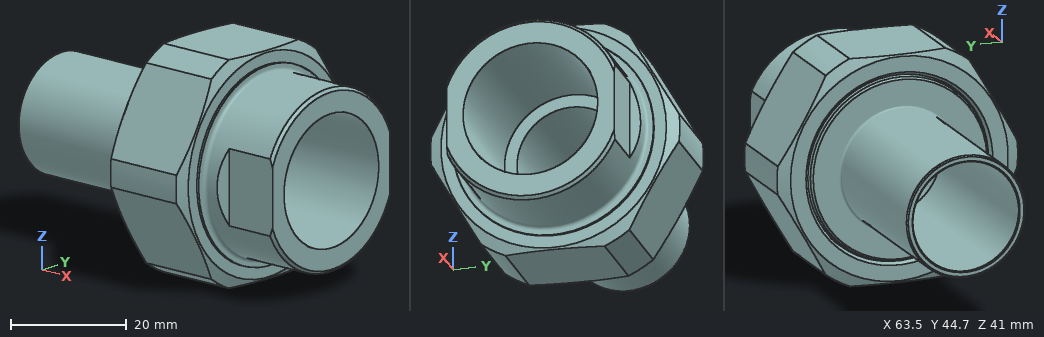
import cadquery as cq
import math


total_length = 63.5
shoulder_x = 31.0
nut_start_x = 31.4
nut_end_x = 48.5
lip_end_x = 34.3
joint_x = 36.8
collar_end_x = 48.95

tail_bore_diameter = 19.6
tube_diameter = 22.0
shoulder_diameter = 33.0
shoulder_chamfer = 0.4
tube_root_fillet = 0.45
tube_outer_chamfer = 0.25
tube_bore_chamfer = 0.2

hex_across_flats = 41.0
hex_turn = 30.0
hex_corner_diameter = 44.7
nut_face_diameter = 40.4
nut_bevel_length = 0.9
lip_bore_diameter = 33.5
lip_chamfer = 0.6
collar_diameter = 36.0

socket_diameter = 33.0
socket_bore_diameter = 24.1
socket_root_fillet = 0.7
socket_end_chamfer = 0.6
flats_width = 30.0
flats_start_x = 53.4


def tube(outer_diameter, start_x, end_x):
    """Solid cylinder along X between two stations."""
    return (
        cq.Workplane("YZ", origin=(start_x, 0, 0))
        .circle(outer_diameter / 2)
        .extrude(end_x - start_x)
    )


def revolve_about_x(outline):
    """Turn a closed outline, given in X and radius, about the X axis."""
    return outline.close().revolve(360, (0, 0, 0), (1, 0, 0))


def make_tailpiece():
    tube_radius = tube_diameter / 2
    bore_radius = tail_bore_diameter / 2
    shoulder_radius = shoulder_diameter / 2
    flange_radius = collar_diameter / 2
    fillet_start_x = shoulder_x - tube_root_fillet
    fillet_mid_offset = tube_root_fillet * (1 - math.sqrt(0.5))
    outline = (
        cq.Workplane("XY")
        .moveTo(0, bore_radius + tube_bore_chamfer)
        .lineTo(0, tube_radius - tube_outer_chamfer)
        .lineTo(tube_outer_chamfer, tube_radius)
        .lineTo(fillet_start_x, tube_radius)
        .threePointArc(
            (shoulder_x - fillet_mid_offset, tube_radius + fillet_mid_offset),
            (shoulder_x, tube_radius + tube_root_fillet),
        )
        .lineTo(shoulder_x, shoulder_radius - shoulder_chamfer)
        .lineTo(shoulder_x + shoulder_chamfer, shoulder_radius)
        .lineTo(lip_end_x, shoulder_radius)
        .lineTo(lip_end_x, flange_radius)
        .lineTo(joint_x, flange_radius)
        .lineTo(joint_x, bore_radius)
        .lineTo(tube_bore_chamfer, bore_radius)
    )
    return revolve_about_x(outline)


def make_nut_envelope():
    """Turned blank that rounds the hexagon corners and bevels both ends."""
    face_radius = nut_face_diameter / 2
    corner_radius = hex_corner_diameter / 2
    outline = (
        cq.Workplane("XY")
        .moveTo(nut_start_x, 0)
        .lineTo(nut_start_x, face_radius)
        .lineTo(nut_start_x + nut_bevel_length, corner_radius)
        .lineTo(nut_end_x - nut_bevel_length, corner_radius)
        .lineTo(nut_end_x, face_radius)
        .lineTo(nut_end_x, 0)
    )
    return revolve_about_x(outline)


def make_nut_bore():
    """Chamfered lip opening followed by the wider collar bore."""
    lip_radius = lip_bore_diameter / 2
    collar_radius = collar_diameter / 2
    outline = (
        cq.Workplane("XY")
        .moveTo(nut_start_x, 0)
        .lineTo(nut_start_x, lip_radius + lip_chamfer)
        .lineTo(nut_start_x + lip_chamfer, lip_radius)
        .lineTo(lip_end_x, lip_radius)
        .lineTo(lip_end_x, collar_radius)
        .lineTo(nut_end_x, collar_radius)
        .lineTo(nut_end_x, 0)
    )
    return revolve_about_x(outline)


def make_nut():
    hex_prism = (
        cq.Workplane("YZ", origin=(nut_start_x, 0, 0))
        .polygon(6, hex_across_flats, circumscribed=True)
        .extrude(nut_end_x - nut_start_x)
        .rotate((0, 0, 0), (1, 0, 0), hex_turn)
    )
    return hex_prism.intersect(make_nut_envelope()).cut(make_nut_bore())


def make_flat_cutter(side):
    """Wedge-ended block that cuts one wrench flat with a 45 degree run-out."""
    flat_y = flats_width / 2
    depth = collar_diameter / 2 - flat_y
    return (
        cq.Workplane("XY")
        .moveTo(flats_start_x, side * flat_y)
        .lineTo(total_length, side * flat_y)
        .lineTo(total_length, side * (flat_y + depth))
        .lineTo(flats_start_x - depth, side * (flat_y + depth))
        .close()
        .extrude(socket_diameter / 2, both=True)
    )


def make_socket():
    socket_radius = socket_diameter / 2
    collar_radius = collar_diameter / 2
    fillet_mid_offset = socket_root_fillet * (1 - math.sqrt(0.5))
    outline = (
        cq.Workplane("XY")
        .moveTo(joint_x, 0)
        .lineTo(joint_x, collar_radius)
        .lineTo(collar_end_x, collar_radius)
        .lineTo(collar_end_x, socket_radius + socket_root_fillet)
        .threePointArc(
            (collar_end_x + fillet_mid_offset, socket_radius + fillet_mid_offset),
            (collar_end_x + socket_root_fillet, socket_radius),
        )
        .lineTo(total_length - socket_end_chamfer, socket_radius)
        .lineTo(total_length, socket_radius - socket_end_chamfer)
        .lineTo(total_length, 0)
    )
    body = revolve_about_x(outline)
    body = body.cut(tube(socket_bore_diameter, joint_x, total_length))
    for side in (-1, 1):
        body = body.cut(make_flat_cutter(side))
    return body


tailpiece = make_tailpiece()
union_nut = make_nut()
socket_body = make_socket()

result = cq.Compound.makeCompound([tailpiece.val(), union_nut.val(), socket_body.val()])